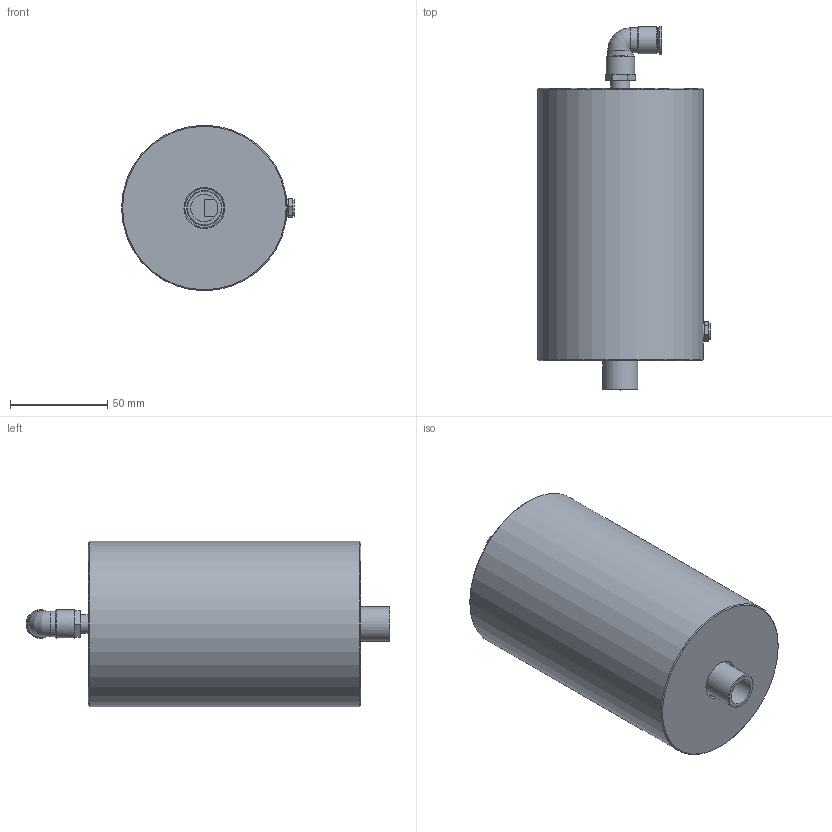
import cadquery as cq
import math

total_length = 186.93

body_diameter = 85.0
body_length = 140.0
body_edge_chamfer = 0.5

pipe_diameter = 18.0
pipe_length = 15.0
pipe_tip_chamfer = 0.3
pipe_bore_diameter = 14.0
recess_diameter = 20.0
recess_chamfer = 0.5
recess_depth = 2.0

drain_y = 15.0
passage_width = 9.1
passage_depth = 0.5
plug_neck_diameter = 8.53
plug_hex_corner_diameter = 10.2
plug_hex_turn = 50.0

plug_hex_start = 0.9
plug_hex_chamfer_start = 3.0
plug_height = 3.75

stub_diameter = 9.73
nut_start = 4.0
nut_end = 7.0
nut_across_flats = 13.6
socket_diameter = 14.68
socket_end = 17.0
socket_chamfer = 0.5
elbow_diameter = 13.0
bend_radius = 5.0

sleeve_diameter = 14.0
sleeve_start = 8.5
sleeve_end = 19.0
sleeve_chamfer = 0.6
collet_neck_diameter = 11.44
collet_cone_start = 19.4
collet_cone_diameter = 12.7
collet_rim_start = 20.0
collet_rim_chamfer = 0.4
collet_end = 21.3
collet_diameter = 14.68

overlap = 1.0

hex_sides = 6
hex_flat_ratio = math.cos(math.pi / hex_sides)

outlet_y = total_length - pipe_length - collet_diameter / 2
bend_y = outlet_y - bend_radius


def cylinder_y(diameter, start, end):
    """Cylinder on the canister axis between two Y positions."""
    plane = cq.Plane(origin=(0, start, 0), xDir=(1, 0, 0), normal=(0, 1, 0))
    return cq.Workplane(plane).circle(diameter / 2).extrude(end - start)


def cylinder_x(diameter, start, end, y):
    """Cylinder parallel to X, at height Z = 0 and the given Y."""
    return cq.Workplane("YZ", origin=(start, y, 0)).circle(diameter / 2).extrude(end - start)


def cone_x(start_diameter, end_diameter, start, end, y):
    """Truncated cone parallel to X, at height Z = 0 and the given Y."""
    profile = cq.Workplane("XY").polyline([
        (start, y),
        (start, y + start_diameter / 2),
        (end, y + end_diameter / 2),
        (end, y),
    ]).close()
    return profile.revolve(360, (0, y, 0), (1, y, 0))


def make_canister():
    body = cylinder_y(body_diameter, 0, body_length).edges().chamfer(body_edge_chamfer)
    body = body.cut(cylinder_y(recess_diameter, 0, recess_depth))
    rim = cq.selectors.RadiusNthSelector(0)
    body = body.faces("<Y").edges(rim).chamfer(recess_chamfer)
    pipe = cylinder_y(pipe_diameter, -pipe_length, recess_depth)
    body = body.union(pipe.faces("<Y").edges().chamfer(pipe_tip_chamfer))
    return body.cut(cylinder_y(pipe_bore_diameter, -pipe_length, drain_y))


def make_drain_passage():
    """Shallow channel in the bore floor, from the axis toward the drain plug."""
    bore = cylinder_y(pipe_bore_diameter, drain_y, drain_y + passage_depth)
    channel = cq.Workplane("XY").box(
        pipe_bore_diameter, body_length, passage_width, centered=(False, True, True)
    )
    return bore.intersect(channel)


def make_drain_plug():
    surface = body_diameter / 2
    chamfer_start = surface + plug_hex_chamfer_start
    end = surface + plug_height
    plug = cylinder_x(plug_neck_diameter, surface - overlap, end, drain_y)
    head = (
        cq.Workplane("YZ", origin=(surface + plug_hex_start, drain_y, 0))
        .transformed(rotate=(0, 0, plug_hex_turn))
        .polygon(hex_sides, plug_hex_corner_diameter)
        .extrude(plug_hex_chamfer_start - plug_hex_start)
    )
    across_flats = plug_hex_corner_diameter * hex_flat_ratio
    tip = cone_x(across_flats, plug_neck_diameter, chamfer_start, end, drain_y)
    return plug.union(head).union(tip)


def make_elbow_base():
    back = body_length
    stub = cylinder_y(stub_diameter, back - overlap, back + nut_end)
    nut_plane = cq.Plane(origin=(0, back + nut_start, 0), xDir=(1, 0, 0), normal=(0, 1, 0))
    nut_corner_diameter = nut_across_flats / hex_flat_ratio
    nut = cq.Workplane(nut_plane).polygon(hex_sides, nut_corner_diameter).extrude(nut_end - nut_start)
    socket = cylinder_y(socket_diameter, back + nut_end, back + socket_end)
    socket = socket.faces(">Y").edges().chamfer(socket_chamfer)
    return stub.union(nut).union(socket)


def make_elbow_bend():
    """Quarter bend tighter than its own tube, so its inner side is a mitred corner."""
    radius = elbow_diameter / 2
    riser = cylinder_y(elbow_diameter, body_length + socket_end - overlap, bend_y)
    outlet = cylinder_x(elbow_diameter, bend_radius, sleeve_start + overlap, outlet_y)
    half_height = math.sqrt(radius**2 - bend_radius**2)
    section = (
        cq.Workplane("XZ", origin=(0, bend_y, 0))
        .moveTo(bend_radius, -half_height)
        .threePointArc((-radius, 0), (bend_radius, half_height))
        .close()
    )
    bend = section.revolve(90, (bend_radius, 1, 0), (bend_radius, 0, 0))
    return riser.union(bend).union(outlet)


def make_tube_end():
    sleeve = cylinder_x(sleeve_diameter, sleeve_start, sleeve_end, outlet_y)
    sleeve = sleeve.edges().chamfer(sleeve_chamfer)
    neck = cylinder_x(collet_neck_diameter, sleeve_end - overlap, collet_end, outlet_y)
    cone = cone_x(collet_cone_diameter, collet_diameter, collet_cone_start, collet_rim_start, outlet_y)
    rim = cylinder_x(collet_diameter, collet_rim_start, collet_end, outlet_y)
    rim = rim.faces(">X").edges().chamfer(collet_rim_chamfer)
    return sleeve.union(neck).union(cone).union(rim)


result = make_canister().cut(make_drain_passage())
for feature in (make_drain_plug(), make_elbow_base(), make_elbow_bend(), make_tube_end()):
    result = result.union(feature)